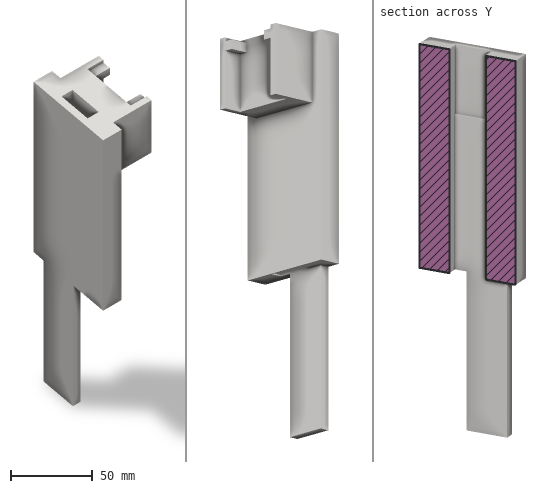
import cadquery as cq

total_height = 249.7
total_depth = 45.2

plate_width = 66.7
plate_depth = 14.7
plate_height = 146.0

tongue_width = 28.0
tongue_depth = 6.2
tongue_left = 9.7

block_width = 50.5
block_height = 45.0
arm_width = 4.5
channel_depth = 12.7

lug_width = 6.0
lug_height = 6.0
lug_drop = 2.5

slot_width = 25.0
slot_depth = 8.7
slot_front = 5.0

plate_bottom = total_height - plate_height
block_bottom = total_height - block_height
channel_width = block_width - 2 * arm_width
channel_front = total_depth - channel_depth


def box(width, depth, height, left, front, bottom):
    """Box placed by its left, front and bottom faces."""
    return cq.Workplane("XY").box(width, depth, height, centered=False).translate((left, front, bottom))


def centred_box(width, depth, height, front, bottom):
    """Box centred across the width of the plate."""
    return box(width, depth, height, (plate_width - width) / 2, front, bottom)


def make_plate():
    plate = box(plate_width, plate_depth, plate_height, 0, 0, plate_bottom)
    slot_back = slot_front + slot_depth
    upper_slot = centred_box(slot_width, slot_depth, block_height, slot_front, block_bottom)
    lower_height = plate_height - block_height
    lower_slot = centred_box(slot_width, slot_back - tongue_depth, lower_height, tongue_depth, plate_bottom)
    return plate.cut(upper_slot).cut(lower_slot)


def make_tongue():
    return box(tongue_width, tongue_depth, plate_bottom, tongue_left, 0, 0)


def make_block():
    """Block with a channel open to the rear, leaving an arm on each side."""
    block = centred_box(block_width, total_depth - plate_depth, block_height, plate_depth, block_bottom)
    channel = centred_box(channel_width, channel_depth, block_height, channel_front, block_bottom)
    return block.cut(channel)


def make_lugs():
    """Pair of lugs reaching into the channel just below the top."""
    bottom = total_height - lug_drop - lug_height
    gap_width = channel_width - 2 * lug_width
    bar = centred_box(channel_width, channel_depth, lug_height, channel_front, bottom)
    gap = centred_box(gap_width, channel_depth, lug_height, channel_front, bottom)
    return bar.cut(gap)


result = make_plate().union(make_tongue()).union(make_block()).union(make_lugs())